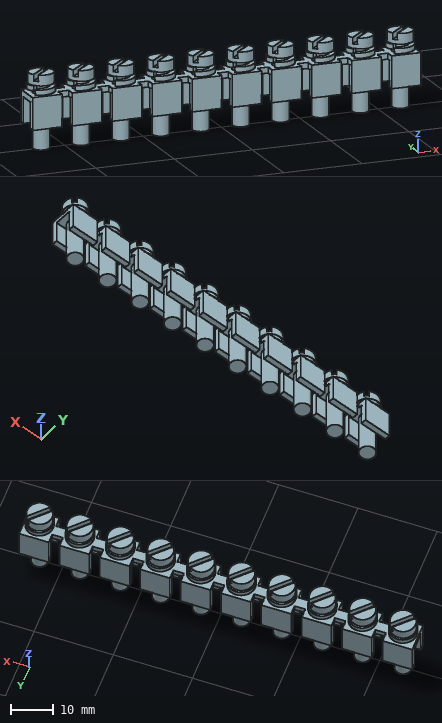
import cadquery as cq

total_length = 99.3
block_count = 10
block_size = 7.5
pitch = (total_length - block_size) / (block_count - 1)
block_height = 8.1
wall = 1.5
link_width = 2.7

screw_offset = -0.1
shank_radius = 2.1
shank_bottom = -13.9
head_radius = 3.2
head_bottom = 2.4
head_top = 5.1
slot_width = 1.2
slot_depth = 1.6
slot_angle = 45.0

washer_radius = 3.5
washer_thickness = 1.3
washer_bottom = 0.1
washer_rise = head_bottom - washer_bottom - washer_thickness
washer_overlap = 0.3
split_angle = 225.0
split_gap = 6.0


def make_block():
    """Clamp block: an inverted U, open along X."""
    body = cq.Workplane("XY").box(block_size, block_size, block_height, centered=(True, True, False))
    channel_width = block_size - 2 * wall
    channel = cq.Workplane("XY").box(
        block_size, channel_width, block_height - wall, centered=(True, True, False)
    )
    return body.cut(channel).translate((0, 0, -block_height))


def make_washer():
    """Rectangular wire wound almost one turn upwards, its bore sunk slightly into the shank."""
    inner_radius = shank_radius - washer_overlap
    rise_per_turn = washer_rise * 360 / (360 - split_gap)
    helix = cq.Wire.makeHelix(rise_per_turn, washer_rise, inner_radius)
    section = (
        cq.Workplane("XZ")
        .moveTo(inner_radius, 0)
        .lineTo(washer_radius, 0)
        .lineTo(washer_radius, washer_thickness)
        .lineTo(inner_radius, washer_thickness)
        .close()
    )
    coil = section.sweep(cq.Workplane(helix), isFrenet=True)
    return coil.rotate((0, 0, 0), (0, 0, 1), split_angle).translate((0, 0, washer_bottom))


def make_screw():
    """Screw with a straight slot across its head, carrying the spring washer."""
    shank = cq.Workplane("XY").workplane(offset=shank_bottom).circle(shank_radius).extrude(
        head_bottom - shank_bottom
    )
    head = cq.Workplane("XY").workplane(offset=head_bottom).circle(head_radius).extrude(
        head_top - head_bottom
    )
    slot = (
        cq.Workplane("XY")
        .box(3 * head_radius, slot_width, slot_depth, centered=(True, True, False))
        .rotate((0, 0, 0), (0, 0, 1), slot_angle)
        .translate((0, 0, head_top - slot_depth))
    )
    return shank.union(make_washer()).union(head.cut(slot))


result = cq.Workplane("XY").box(total_length, link_width, wall).translate((0, 0, -wall / 2))

block = make_block()
screw = make_screw()
for index in range(block_count):
    steps_from_middle = index - (block_count - 1) / 2
    result = result.union(block.translate((steps_from_middle * pitch, 0, 0)))
    result = result.union(screw.translate((steps_from_middle * pitch + screw_offset, 0, 0)))